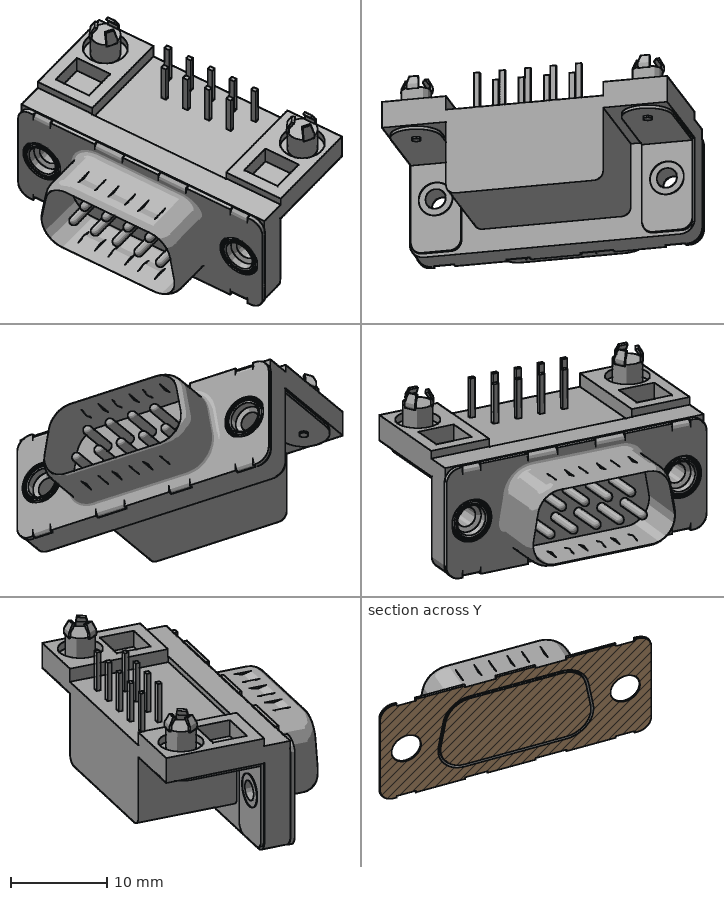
import cadquery as cq
import math


flange_width = 30.9
flange_height = 12.42
flange_thickness = 0.5
corner_radius = 1.58
axis_height = flange_height / 2

housing_width = 30.7
housing_height = 12.5
housing_rear = 3.43
block_width = 16.93
block_top = 11.87
block_bottom = 2.53
block_edge_radius = 1.0
rear_face = 14.75

arm_bottom = 10.5
arm_top = 13.38
arm_front = 3.5
pocket_offset = 11.912
pocket_width = 4.2
pocket_front = 4.85
pocket_rear = 8.75
pocket_depth = 1.85

screw_offset = 12.45

screw_hole_profile = [
    (2.35, 0.0),
    (2.35, 0.25),
    (2.2, 0.25),
    (2.07, 0.05),
    (1.9, 0.0),
    (1.67, 0.1),
    (1.58, 0.85),
    (1.08, 1.17),
]
screw_bore_radius = screw_hole_profile[-1][0]

post_y = 11.695
post_radius = 1.58
post_top = 15.3
post_well_radius = 2.35
finger_bottom = 15.1
finger_shoulder = 15.82
finger_top = 16.65
finger_radius = 1.65
finger_wall = 0.28
finger_tip_outer = 1.1
finger_tip_inner = 0.8
finger_tip_drop = 0.1
finger_barb_height = 15.45
finger_neck_radius = 1.58
finger_base_width = 1.25
finger_tip_width = 0.93
finger_count = 3

bracket_thickness = 0.35
bracket_bottom = 0.4
bracket_half_width = 2.705
collar_radius = 1.82
collar_height = 0.1
rivet_radius = 0.45
rivet_height = 0.22

shell_bottom = 1.65
shell_top = 10.88
shell_mid_half_width = 8.68
shell_slant = math.radians(10)
shell_corner_radius = 3.12
shell_wall = 0.5
shell_length = 5.9
shell_flare = 0.65
inner_flare = 1.1
rim_length = 1.16
rim_radius = (rim_length**2 + shell_wall**2) / (2 * shell_wall)

insulator_front = -0.3
insulator_inset = 0.3
insulator_edge_radius = 0.2

dimple_width = 2.1
dimple_pitch = 3.77
dimple_rear = -2.4
dimple_ridge_rear = -3.28
dimple_ridge_front = -3.45
dimple_front = -4.35
dimple_depth = 0.22

contact_pitch = 2.738
contact_radius = 0.5
contact_tip = -4.73
upper_row_height = 7.7
lower_row_height = 4.85

tail_shift = 0.1
tail_width = 0.6
tail_depth = 0.45
tail_top = 16.28
upper_tail_y = 10.35
lower_tail_y = 12.92

clip_radius = 0.77
end_clips = [(-screw_offset, 2.15), (screw_offset, 2.15)]
upper_clips = end_clips + [(-4.02, 3.52), (4.02, 3.52)]
lower_clips = end_clips + [(-4.02, 3.52), (4.48, 2.53)]

pick_margin = 0.03


def block(x_range, y_range, z_range):
    """Axis-aligned box between the given limits."""
    size = [high - low for low, high in (x_range, y_range, z_range)]
    corner = (x_range[0], y_range[0], z_range[0])
    return cq.Workplane("XY").box(*size, centered=False).translate(corner)


def rod(x, z, radius, y_front, y_rear):
    """Cylinder along Y."""
    plane = cq.Workplane("XZ", origin=(x, y_rear, z))
    return plane.circle(radius).extrude(y_rear - y_front)


def flange():
    plate = block(
        (-flange_width / 2, flange_width / 2), (0, flange_thickness), (0, flange_height)
    )
    plate = plate.edges("|Y").fillet(corner_radius)
    for height, clips in ((flange_height, upper_clips), (0, lower_clips)):
        inward = 1 if height == 0 else -1
        for x, width in clips:
            corner = block(
                (x - width / 2, x + width / 2),
                (0, flange_thickness),
                sorted((height, height + inward * clip_radius)),
            )
            fold = (
                cq.Workplane("YZ", origin=(x - width / 2, 0, 0))
                .center(clip_radius, height + inward * clip_radius)
                .circle(clip_radius)
                .extrude(width)
            )
            plate = plate.cut(corner.cut(fold))
    return plate


def housing():
    front = block(
        (-housing_width / 2, housing_width / 2),
        (flange_thickness, housing_rear),
        (0, housing_height),
    )
    front = front.edges("|Y and <Z").fillet(corner_radius)
    rear = block(
        (-block_width / 2, block_width / 2),
        (housing_rear, rear_face),
        (block_bottom, block_top),
    )
    rear = rear.edges("|Y and <Z").fillet(block_edge_radius)
    return front.union(rear)


def arm():
    body = block(
        (-housing_width / 2, -block_width / 2), (arm_front, rear_face), (arm_bottom, arm_top)
    )
    root = block(
        (-housing_width / 2, -block_width / 2),
        (housing_rear, arm_front),
        (arm_bottom, housing_height),
    )
    pocket = block(
        (-pocket_offset - pocket_width / 2, -pocket_offset + pocket_width / 2),
        (pocket_front, pocket_rear),
        (arm_top - pocket_depth, arm_top),
    )
    well = (
        cq.Workplane("XY", origin=(-screw_offset, post_y, housing_height))
        .circle(post_well_radius)
        .extrude(arm_top - housing_height)
    )
    return body.union(root).cut(pocket).cut(well)


def finger(angle):
    """Spring finger on the post top, leaning inward, turned to the given angle about the post."""
    side = (
        cq.Workplane("XZ", origin=(0, finger_base_width / 2, 0))
        .moveTo(finger_radius - finger_wall, finger_bottom)
        .lineTo(finger_neck_radius, finger_bottom)
        .threePointArc((finger_radius, finger_barb_height), (finger_neck_radius, finger_shoulder))
        .lineTo(finger_tip_outer, finger_top)
        .lineTo(finger_tip_inner, finger_top - finger_tip_drop)
        .lineTo(finger_radius - finger_wall, finger_shoulder)
        .close()
        .extrude(finger_base_width)
    )
    taper = (
        cq.Workplane("YZ")
        .polyline(
            [
                (-finger_base_width / 2, finger_bottom),
                (finger_base_width / 2, finger_bottom),
                (finger_base_width / 2, finger_shoulder),
                (finger_tip_width / 2, finger_top),
                (-finger_tip_width / 2, finger_top),
                (-finger_base_width / 2, finger_shoulder),
            ]
        )
        .close()
        .extrude(finger_radius)
    )
    turned = side.intersect(taper).rotate((0, 0, 0), (0, 0, 1), angle)
    return turned.translate((-screw_offset, post_y, 0))


def post():
    stem = (
        cq.Workplane("XY", origin=(-screw_offset, post_y, housing_height))
        .circle(post_radius)
        .extrude(post_top - housing_height)
    )
    for i in range(finger_count):
        stem = stem.union(finger(90 + i * 360 / finger_count))
    return stem


def bracket():
    """Bent strip lying against the housing rear and under the arm, with a round end below the post."""
    x_range = (-screw_offset - bracket_half_width, -screw_offset + bracket_half_width)
    plate_rear = housing_rear + bracket_thickness
    upright = block(x_range, (housing_rear, plate_rear), (bracket_bottom, arm_bottom))
    upright = upright.edges("|Y and <Z").fillet(corner_radius - bracket_bottom)
    underside = arm_bottom - bracket_thickness
    strip = block(x_range, (housing_rear, post_y), (underside, arm_bottom))
    plane = cq.Workplane("XY", origin=(-screw_offset, post_y, underside))
    strip = strip.union(plane.circle(bracket_half_width).extrude(bracket_thickness))
    rivet = plane.circle(rivet_radius).extrude(-rivet_height)
    collar = rod(-screw_offset, axis_height, collar_radius, plate_rear, plate_rear + collar_height)
    return upright.union(strip).union(rivet).union(collar)


def screw_hole():
    end = housing_rear + bracket_thickness + collar_height
    outline = [(0, 0)] + screw_hole_profile + [(screw_bore_radius, end), (0, end)]
    hole = cq.Workplane("XY").polyline(outline).close().revolve(360, (0, 0, 0), (0, 1, 0))
    return hole.translate((-screw_offset, 0, axis_height))


def d_prism(inset, y_front, y_rear):
    """Rounded D outline along Y, moved inward from the shell's outer face by inset."""
    bottom = shell_bottom + inset
    top = shell_top - inset
    side_inset = inset / math.cos(shell_slant)

    def half_width(z):
        return shell_mid_half_width - side_inset - (z - axis_height) * math.tan(shell_slant)

    outline = [
        (-half_width(bottom), bottom),
        (half_width(bottom), bottom),
        (half_width(top), top),
        (-half_width(top), top),
    ]
    prism = (
        cq.Workplane("XZ", origin=(0, y_rear, 0)).polyline(outline).close().extrude(y_rear - y_front)
    )
    return prism.edges("|Y").fillet(shell_corner_radius - inset)


def dimple(x, wall_z, inward):
    """Ridge pressed into a shell wall; inward is the Z direction towards the cavity."""
    ridge_z = wall_z + inward * dimple_depth
    return (
        cq.Workplane("YZ", origin=(x - dimple_width / 2, 0, 0))
        .polyline(
            [
                (dimple_rear, wall_z),
                (dimple_ridge_rear, ridge_z),
                (dimple_ridge_front, ridge_z),
                (dimple_front, wall_z),
            ]
        )
        .close()
        .extrude(dimple_width)
    )


def root_edges(y):
    """Selects the outline of the shell's root on the flange face at the given Y."""
    half_width = shell_mid_half_width + shell_flare
    return cq.selectors.BoxSelector(
        (-half_width, y - pick_margin, shell_bottom - pick_margin),
        (half_width, y + pick_margin, shell_top + pick_margin),
        boundingbox=True,
    )


def insulator():
    plug = d_prism(insulator_inset, insulator_front, flange_thickness)
    return plug.faces("<Y").edges().fillet(insulator_edge_radius)


def add_shell(body):
    """Joins the hollow shell to the flange, flared at its root and rounded at its open end."""
    uncut_end = -shell_length + rim_length - rim_radius
    outer = d_prism(0, uncut_end, flange_thickness).faces("<Y").edges().fillet(rim_radius)
    outer = outer.cut(d_prism(-0.3, uncut_end - 0.3, -shell_length))
    body = body.union(outer).edges(root_edges(0)).fillet(shell_flare)
    body = body.cut(d_prism(shell_wall, -shell_length, flange_thickness))
    body = body.edges(root_edges(flange_thickness)).fillet(inner_flare)
    for wall_z, inward in ((shell_top, -1), (shell_bottom, 1)):
        for i in (-1, 0, 1):
            x = i * dimple_pitch
            body = body.union(dimple(x, wall_z + inward * shell_wall, inward))
            body = body.cut(dimple(x, wall_z, inward))
    return body


def contact(x, z):
    """Round pin along Y with a domed tip."""
    shoulder = contact_tip + contact_radius
    dome = cq.Workplane("XY").sphere(contact_radius).translate((x, shoulder, z))
    return rod(x, z, contact_radius, shoulder, insulator_front).union(dome)


def tail(x, y):
    return block(
        (x - tail_width / 2, x + tail_width / 2),
        (y - tail_depth / 2, y + tail_depth / 2),
        (block_top, tail_top),
    )


result = add_shell(flange()).union(insulator()).union(housing())
for part in (arm(), post(), bracket()):
    result = result.union(part).union(part.mirror("YZ"))
hole = screw_hole()
result = result.cut(hole).cut(hole.mirror("YZ"))
for count, z, y in ((4, upper_row_height, upper_tail_y), (5, lower_row_height, lower_tail_y)):
    for i in range(count):
        x = (i - (count - 1) / 2) * contact_pitch
        result = result.union(contact(x, z)).union(tail(x + tail_shift, y))